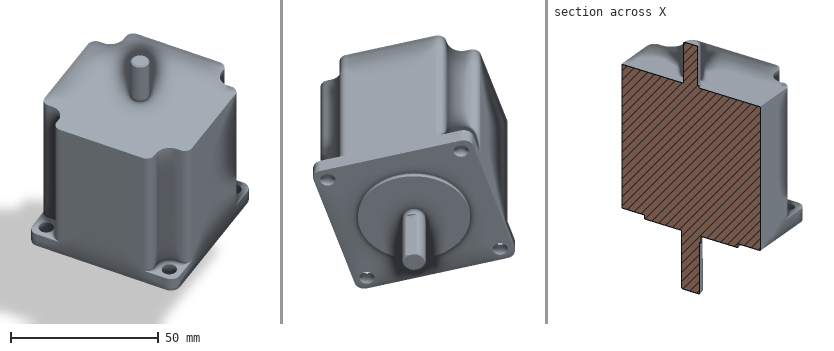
import cadquery as cq

overall_height = 95.0
width = 56.4

flange_thickness = 5.1
flange_corner_radius = 3.4
hole_spacing = 47.1
hole_diameter = 5.2

body_top = 55.3
notch_size = 9.5
notch_inner_radius = 5.1
notch_edge_radius = 2.85

pilot_diameter = 38.1
pilot_height = 1.5

rear_shaft_diameter = 6.4
rear_shaft_length = 15.9
rear_flat_start = 0.9
front_shaft_diameter = 8.0
front_shaft_length = overall_height - body_top - rear_shaft_length - pilot_height
front_flat_start = 2.6
flat_depth = 0.5
shaft_chamfer = 0.5


def make_flange():
    plate = cq.Workplane("XY").rect(width, width).extrude(flange_thickness)
    plate = plate.edges("|Z").fillet(flange_corner_radius)
    return (
        plate.faces(">Z").workplane()
        .rect(hole_spacing, hole_spacing, forConstruction=True).vertices()
        .hole(hole_diameter)
    )


def make_body():
    height = body_top - flange_thickness
    half = width / 2
    wall = half - notch_size
    base = cq.Workplane("XY").workplane(offset=flange_thickness)
    body = base.rect(width, width).extrude(height)
    notches = (
        base.rect(width, width, forConstruction=True).vertices()
        .rect(2 * notch_size, 2 * notch_size).extrude(height)
    )
    body = body.cut(notches)
    for x_sign in (-1, 1):
        for y_sign in (-1, 1):
            inner = cq.NearestToPointSelector((x_sign * wall, y_sign * wall, body_top - height / 2))
            body = body.edges("|Z").edges(inner).fillet(notch_inner_radius)
    outer_edges = body.faces("<X or >X or <Y or >Y").edges("|Z")
    return outer_edges.fillet(notch_edge_radius)


def make_shaft(diameter, length, flat_start):
    """Shaft rising from Z = 0, with a flat from flat_start to its chamfered tip."""
    shaft = cq.Workplane("XY").circle(diameter / 2).extrude(length)
    shaft = shaft.faces(">Z").edges().chamfer(shaft_chamfer)
    flat_cutter = (
        cq.Workplane("XY").box(diameter, diameter, length, centered=(True, False, False))
        .translate((0, diameter / 2 - flat_depth, flat_start))
    )
    return shaft.cut(flat_cutter)


pilot = cq.Workplane("XY").circle(pilot_diameter / 2).extrude(-pilot_height)
rear_shaft = make_shaft(rear_shaft_diameter, rear_shaft_length, rear_flat_start)
rear_shaft = rear_shaft.translate((0, 0, body_top))
front_shaft = make_shaft(front_shaft_diameter, front_shaft_length, front_flat_start)
front_shaft = front_shaft.mirror("XY").translate((0, 0, -pilot_height))

result = make_flange().union(make_body()).union(pilot).union(rear_shaft).union(front_shaft)